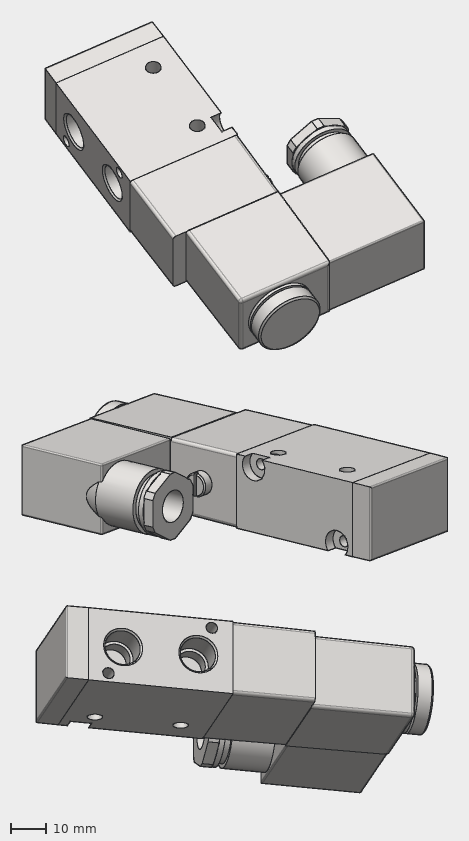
import cadquery as cq
import math

CAP_LENGTH = 6.5
BODY_END = 48.7
PILOT_END = 72.7
COIL_END = 102.9
TOTAL_LENGTH = 109.1

BLOCK_WIDTH = 35.0
BLOCK_HEIGHT = 22.0
MID_Y = BLOCK_WIDTH / 2
TOP_Z = BLOCK_HEIGHT / 2
DRAFT = 0.5
BLOCK_ROUND = 1.0
SMALL_ROUND = 0.4

PORT_X = (16.6, 38.5)
PORT_RADIUS = 5.1
PORT_CHAMFER = 0.5
PORT_DEPTH = 8.7
PORT_FEED_RADIUS = 4.3
PORT_FEED_DEPTH = 13.1
STACK_BOLT_X = (15.2, 40.1)
STACK_BOLT_Y = 26.7
STACK_BOLT_RADIUS = 2.2
PANEL_BOLT_XZ = ((12.3, -8.4), (42.4, 8.4))
PANEL_BOLT_RADIUS = 1.6
PANEL_BORE_RADIUS = 4.0
PANEL_BORE_DEPTH = 3.4

SCREW_X = 61.1
SCREW_RADIUS = 3.5
SCREW_TOP_Y = 38.2
SCREW_CHAMFER = 0.4
SCREW_SLOT_WIDTH = 0.9
SCREW_SLOT_DEPTH = 1.0

COIL_FRONT_Y = 4.5
COIL_BACK_Y = 34.5
NUT_RADIUS = 10.0
NUT_STEM_RADIUS = 7.5
NUT_COLLAR_END = 103.9
NUT_START = 104.5
NUT_CHAMFER = 0.5

PLUG_START_X = 73.2
PLUG_END_X = 102.4
PLUG_BACK_Y = 65.1
PLUG_HEIGHT = 21.0

GLAND_Y = 57.2
GLAND_START = 53.9
GLAND_FLANGE_START = 57.2
GLAND_NECK_START = 58.8
GLAND_SLEEVE_START = 60.8
GLAND_CONE_START = 74.3
GLAND_CONE_END = 79.2
GLAND_SLEEVE_RADIUS = 9.5
GLAND_FLANGE_RADIUS = 9.4
GLAND_NECK_RADIUS = 8.2
GLAND_CONE_RADIUS = 7.9
HEX_SIDES = 6
HALF_HEX_STEP = 180 / HEX_SIDES
HEX_FLATS = 18.1
HEX_CORNER_RADIUS = 9.8
CABLE_RADIUS = 4.7


def box(x0, x1, y0, y1, height):
    """Box between X and Y limits, centred on Z = 0."""
    size = (x1 - x0, y1 - y0, height)
    return cq.Workplane("XY").box(*size).translate(((x0 + x1) / 2, (y0 + y1) / 2, 0))


def drafted_block(x_base, x_tip, y0, y1):
    """Full-height block standing on the plane X = x_base and narrowing towards X = x_tip."""
    return (
        cq.Workplane("YZ", origin=(x_base, (y0 + y1) / 2, 0))
        .rect(y1 - y0, BLOCK_HEIGHT)
        .extrude(x_tip - x_base, taper=DRAFT)
    )


def x_cylinder(x0, x1, y, radius):
    return cq.Workplane("YZ", origin=(x0, y, 0)).circle(radius).extrude(x1 - x0)


def y_cylinder(x, z, y0, y1, radius):
    return cq.Workplane("XZ", origin=(x, y0, z)).circle(radius).extrude(y0 - y1)


def make_end_cap():
    cap = drafted_block(CAP_LENGTH, 0, 0, BLOCK_WIDTH)
    return cap.faces("<X").edges().fillet(SMALL_ROUND)


def make_valve_body():
    body = box(CAP_LENGTH, BODY_END, 0, BLOCK_WIDTH, BLOCK_HEIGHT)
    for x in PORT_X:
        port = y_cylinder(x, 0, 0, PORT_DEPTH, PORT_RADIUS)
        feed = y_cylinder(x, 0, 0, PORT_FEED_DEPTH, PORT_FEED_RADIUS)
        mouth_radius = PORT_RADIUS + PORT_CHAMFER
        mouth_point = cq.Vector(x, 0, 0)
        inward = cq.Vector(0, 1, 0)
        mouth = cq.Solid.makeCone(mouth_radius, PORT_RADIUS, PORT_CHAMFER, mouth_point, inward)
        body = body.cut(port).cut(feed).cut(cq.Workplane(mouth))
    for x in STACK_BOLT_X:
        hole_circle = cq.Workplane("XY", origin=(x, STACK_BOLT_Y, -TOP_Z)).circle(STACK_BOLT_RADIUS)
        body = body.cut(hole_circle.extrude(BLOCK_HEIGHT))
    for x, z in PANEL_BOLT_XZ:
        bolt_hole = y_cylinder(x, z, 0, BLOCK_WIDTH, PANEL_BOLT_RADIUS)
        head_bore = y_cylinder(x, z, BLOCK_WIDTH - PANEL_BORE_DEPTH, BLOCK_WIDTH, PANEL_BORE_RADIUS)
        body = body.cut(bolt_hole).cut(head_bore)
    return body


def make_override_screw():
    """Slotted screw head; its foot sinks into the pilot block it is joined to."""
    foot_y = BLOCK_WIDTH - BLOCK_ROUND
    screw = y_cylinder(SCREW_X, 0, foot_y, SCREW_TOP_Y, SCREW_RADIUS)
    screw = screw.faces(">Y").edges().chamfer(SCREW_CHAMFER)
    slot = box(
        SCREW_X - SCREW_SLOT_WIDTH / 2,
        SCREW_X + SCREW_SLOT_WIDTH / 2,
        SCREW_TOP_Y - SCREW_SLOT_DEPTH,
        SCREW_TOP_Y,
        2 * SCREW_RADIUS,
    )
    return screw.cut(slot)


def make_pilot_block():
    block = drafted_block(BODY_END, PILOT_END, 0, BLOCK_WIDTH)
    block = block.edges("not(<X or >X)").fillet(BLOCK_ROUND)
    return block.union(make_override_screw())


def make_coil():
    coil = drafted_block(PILOT_END, COIL_END, COIL_FRONT_Y, COIL_BACK_Y)
    coil = coil.faces("<Y").edges("not(<X or >X)").fillet(BLOCK_ROUND)
    return coil.faces(">X").edges().fillet(BLOCK_ROUND)


def make_coil_nut():
    collar = x_cylinder(COIL_END, NUT_COLLAR_END, MID_Y, NUT_RADIUS)
    stem = x_cylinder(COIL_END, NUT_START, MID_Y, NUT_STEM_RADIUS)
    nut = x_cylinder(NUT_START, TOTAL_LENGTH, MID_Y, NUT_RADIUS)
    nut = nut.faces(">X").edges().chamfer(NUT_CHAMFER)
    return collar.union(stem).union(nut)


def make_plug():
    plug = box(PLUG_START_X, PLUG_END_X, MID_Y, PLUG_BACK_Y, PLUG_HEIGHT)
    return plug.edges("|Y").fillet(SMALL_ROUND).faces(">Y").edges().fillet(SMALL_ROUND)


def make_gland_hexagon():
    """Hexagon with flats facing +Y and -Y, its corners cut by a second, turned hexagon."""

    def prism(flats_radius, turn):
        return (
            cq.Workplane("YZ", origin=(GLAND_START, 0, 0))
            .polygon(HEX_SIDES, 2 * flats_radius / math.cos(math.pi / HEX_SIDES))
            .extrude(GLAND_FLANGE_START - GLAND_START)
            .rotate((0, 0, 0), (1, 0, 0), turn)
        )

    hexagon = prism(HEX_FLATS / 2, HALF_HEX_STEP).intersect(prism(HEX_CORNER_RADIUS, 0))
    return hexagon.translate((0, GLAND_Y, 0))


def make_gland():
    """Turned flange, neck, sleeve and cone, with the hexagon on the cable end."""
    turned = (
        cq.Workplane("XY")
        .polyline(
            [
                (GLAND_FLANGE_START, GLAND_Y),
                (GLAND_FLANGE_START, GLAND_Y + GLAND_FLANGE_RADIUS),
                (GLAND_NECK_START, GLAND_Y + GLAND_FLANGE_RADIUS),
                (GLAND_NECK_START, GLAND_Y + GLAND_NECK_RADIUS),
                (GLAND_SLEEVE_START, GLAND_Y + GLAND_NECK_RADIUS),
                (GLAND_SLEEVE_START, GLAND_Y + GLAND_SLEEVE_RADIUS),
                (GLAND_CONE_START, GLAND_Y + GLAND_SLEEVE_RADIUS),
                (GLAND_CONE_END, GLAND_Y + GLAND_CONE_RADIUS),
                (GLAND_CONE_END, GLAND_Y),
            ]
        )
        .close()
        .revolve(360, (0, GLAND_Y, 0), (1, GLAND_Y, 0))
    )
    return turned.union(make_gland_hexagon())


def make_solenoid():
    """Coil with its nut, plug connector and cable gland as one solid."""
    solenoid = make_coil().union(make_coil_nut()).union(make_plug()).union(make_gland())
    return solenoid.cut(x_cylinder(GLAND_START, PLUG_START_X, GLAND_Y, CABLE_RADIUS))


end_cap = make_end_cap()
valve_body = make_valve_body()
pilot_block = make_pilot_block()
solenoid = make_solenoid()

result = cq.Compound.makeCompound(
    [end_cap.val(), valve_body.val(), pilot_block.val(), solenoid.val()]
)